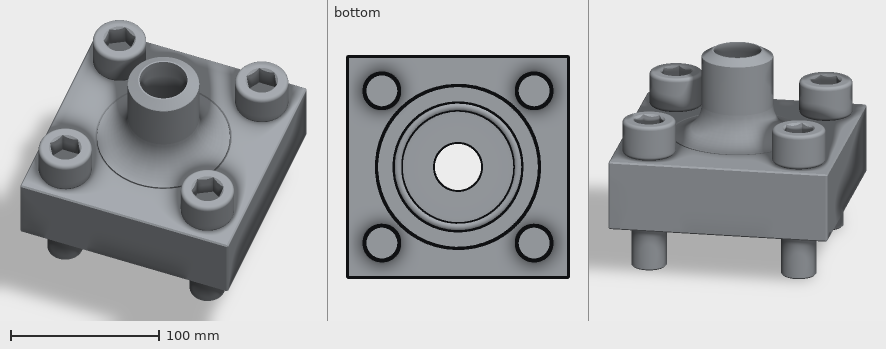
import cadquery as cq
import math


FLANGE_SIDE = 150.0
FLANGE_THICKNESS = 48.0
FLANGE_CHAMFER = 1.0
SCREW_PITCH = 102.6
SCREW_HOLE_RADIUS = 25.0 / 2
NECK_HOLE_RADIUS = 90.0 / 2
NECK_RECESS_RADIUS = 111.0 / 2
NECK_RECESS_DEPTH = FLANGE_THICKNESS / 2

NECK_HEIGHT = 59.1
PIPE_RADIUS = 48.3 / 2
BORE_RADIUS = 32.2 / 2
WELD_LAND = 1.0
WELD_BEVEL_ANGLE = 30.0
PIPE_EDGE_BREAK = 0.3
HUB_RADIUS = 89.5 / 2
COLLAR_RADIUS = 110.0 / 2
COLLAR_CHAMFER = 0.6
COLLAR_PROTRUSION = 1.8
COLLAR_TOP_Z = NECK_RECESS_DEPTH - FLANGE_THICKNESS
COLLAR_BOTTOM_Z = -FLANGE_THICKNESS - COLLAR_PROTRUSION

SEAL_INNER_RADIUS = 75.6 / 2
GROOVE_OUTER_RADIUS = 87.3 / 2
SEAL_SECTION_RADIUS = 5.4 / 2
SEAL_PROTRUSION = 1.5
GROOVE_DEPTH = 2 * SEAL_SECTION_RADIUS - SEAL_PROTRUSION

SHANK_RADIUS = 24.0 / 2
SHANK_LENGTH = 80.0
SHANK_TIP_CHAMFER = 1.0
HEAD_RADIUS = 36.0 / 2
HEAD_HEIGHT = 24.0
HEAD_FILLET = 2.4
SOCKET_CORNER_RADIUS = 21.9 / 2
SOCKET_FLAT_RADIUS = SOCKET_CORNER_RADIUS * math.cos(math.pi / 6)
SOCKET_DEPTH = 15.0


def make_flange():
    """Square block with a stepped hole for the neck and four screw holes."""
    block = cq.Workplane("XY").box(FLANGE_SIDE, FLANGE_SIDE, FLANGE_THICKNESS, centered=(True, True, False))
    block = block.translate((0, 0, -FLANGE_THICKNESS)).edges().chamfer(FLANGE_CHAMFER)

    neck_hole = cq.Workplane("XY").circle(NECK_HOLE_RADIUS).extrude(-FLANGE_THICKNESS)
    recess = (
        cq.Workplane("XY")
        .workplane(offset=-FLANGE_THICKNESS)
        .circle(NECK_RECESS_RADIUS)
        .extrude(NECK_RECESS_DEPTH)
    )
    screw_holes = (
        cq.Workplane("XY")
        .rect(SCREW_PITCH, SCREW_PITCH, forConstruction=True)
        .vertices()
        .circle(SCREW_HOLE_RADIUS)
        .extrude(-FLANGE_THICKNESS)
    )
    flange = block.cut(neck_hole).cut(recess).cut(screw_holes)

    largest_circle = cq.selectors.RadiusNthSelector(-1)
    return flange.faces(">Z").edges("%CIRCLE").edges(largest_circle).chamfer(FLANGE_CHAMFER)


def make_weld_neck():
    """Turned pipe stub that flares into a hub, with a wider collar and a seal groove below."""
    land_radius = BORE_RADIUS + WELD_LAND
    bevel_radius = PIPE_RADIUS - PIPE_EDGE_BREAK
    bevel_z = NECK_HEIGHT - (bevel_radius - land_radius) * math.tan(math.radians(WELD_BEVEL_ANGLE))
    flare_radius = HUB_RADIUS - PIPE_RADIUS
    flare_middle = (
        HUB_RADIUS - flare_radius * math.cos(math.pi / 4),
        flare_radius - flare_radius * math.sin(math.pi / 4),
    )
    groove_top_z = COLLAR_BOTTOM_Z + GROOVE_DEPTH
    profile = (
        cq.Workplane("XZ")
        .moveTo(BORE_RADIUS, NECK_HEIGHT)
        .lineTo(land_radius, NECK_HEIGHT)
        .lineTo(bevel_radius, bevel_z)
        .lineTo(PIPE_RADIUS, bevel_z - PIPE_EDGE_BREAK)
        .lineTo(PIPE_RADIUS, flare_radius)
        .threePointArc(flare_middle, (HUB_RADIUS, 0))
        .lineTo(HUB_RADIUS, COLLAR_TOP_Z)
        .lineTo(COLLAR_RADIUS, COLLAR_TOP_Z)
        .lineTo(COLLAR_RADIUS, COLLAR_BOTTOM_Z + COLLAR_CHAMFER)
        .lineTo(COLLAR_RADIUS - COLLAR_CHAMFER, COLLAR_BOTTOM_Z)
        .lineTo(GROOVE_OUTER_RADIUS, COLLAR_BOTTOM_Z)
        .lineTo(GROOVE_OUTER_RADIUS, groove_top_z)
        .lineTo(SEAL_INNER_RADIUS, groove_top_z)
        .lineTo(SEAL_INNER_RADIUS, COLLAR_BOTTOM_Z)
        .lineTo(BORE_RADIUS, COLLAR_BOTTOM_Z)
        .close()
    )
    return profile.revolve(360, (0, 0, 0), (0, 1, 0))


def make_seal_ring():
    """Round-section ring that fits around the groove's inner wall and stands out below the collar."""
    centre_radius = SEAL_INNER_RADIUS + SEAL_SECTION_RADIUS
    centre_z = COLLAR_BOTTOM_Z + GROOVE_DEPTH - SEAL_SECTION_RADIUS
    section = cq.Workplane("XZ").center(centre_radius, centre_z).circle(SEAL_SECTION_RADIUS)
    return section.revolve(360, (-centre_radius, 0, 0), (-centre_radius, 1, 0))


def make_screw(x, y, turn):
    """Socket head screw seated on the flange, its hexagon turned about its own axis."""
    shank = cq.Workplane("XY").circle(SHANK_RADIUS).extrude(-SHANK_LENGTH)
    shank = shank.faces("<Z").chamfer(SHANK_TIP_CHAMFER)
    head = cq.Workplane("XY").circle(HEAD_RADIUS).extrude(HEAD_HEIGHT)
    head = head.faces("<Z or >Z").edges().fillet(HEAD_FILLET)

    head_top = cq.Workplane("XY").workplane(offset=HEAD_HEIGHT)
    hexagon = head_top.polygon(6, 2 * SOCKET_CORNER_RADIUS).extrude(-SOCKET_DEPTH)
    countersink = cq.Workplane(
        cq.Solid.makeCone(
            SOCKET_CORNER_RADIUS,
            SOCKET_FLAT_RADIUS,
            SOCKET_CORNER_RADIUS - SOCKET_FLAT_RADIUS,
            pnt=(0, 0, HEAD_HEIGHT),
            dir=(0, 0, -1),
        )
    )
    screw = head.union(shank).cut(hexagon).cut(countersink)
    return screw.rotate((0, 0, 0), (0, 0, 1), turn).translate((x, y, 0))


def make_screws():
    """Four screws, each a quarter turn on from the one before it around the neck."""
    corner_distance = SCREW_PITCH / math.sqrt(2)
    screws = []
    for quarter in range(4):
        turn = 90 * quarter
        corner_angle = math.radians(turn + 45)
        x = corner_distance * math.cos(corner_angle)
        y = corner_distance * math.sin(corner_angle)
        screws.append(make_screw(x, y, turn))
    return screws


flange = make_flange()
weld_neck = make_weld_neck()
seal_ring = make_seal_ring()
screws = make_screws()

result = cq.Compound.makeCompound(
    [
        flange.val(),
        weld_neck.val(),
        seal_ring.val(),
        *[screw.val() for screw in screws],
    ]
)